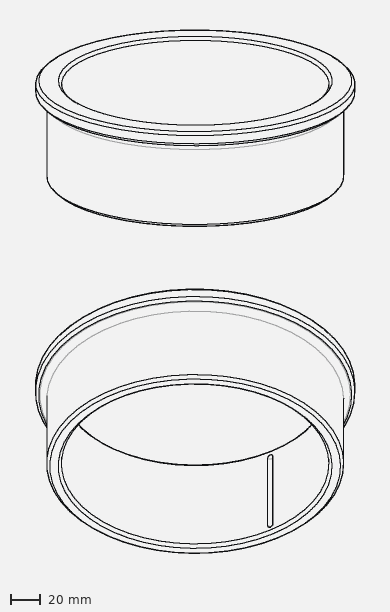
import cadquery as cq

height = 70.0
flange_radius = 215 / 2
sleeve_radius = 200 / 2
bore_radius = 180.0 / 2
flange_thickness = 10.0
edge_chamfer = 2.2
neck_fillet = 4.5

groove_width = 4.0
groove_length = 60.6
groove_bottom = 4.7

flange_bottom = height - flange_thickness

profile = (
    cq.Workplane("XZ")
    .moveTo(bore_radius, edge_chamfer)
    .lineTo(bore_radius + edge_chamfer, 0)
    .lineTo(sleeve_radius - edge_chamfer, 0)
    .lineTo(sleeve_radius, edge_chamfer)
    .lineTo(sleeve_radius, flange_bottom - neck_fillet)
    .radiusArc((sleeve_radius + neck_fillet, flange_bottom), neck_fillet)
    .lineTo(flange_radius - edge_chamfer, flange_bottom)
    .lineTo(flange_radius, flange_bottom + edge_chamfer)
    .lineTo(flange_radius, height - edge_chamfer)
    .lineTo(flange_radius - edge_chamfer, height)
    .lineTo(bore_radius + edge_chamfer, height)
    .lineTo(bore_radius, height - edge_chamfer)
    .close()
)
ring = profile.revolve(360, (0, 0, 0), (0, 1, 0))

groove_radius = groove_width / 2
rod_length = groove_length - groove_width
rod_bottom = groove_bottom + groove_radius
groove = (
    cq.Workplane("XY", origin=(bore_radius, 0, rod_bottom))
    .circle(groove_radius)
    .extrude(rod_length)
)
for ball_height in (rod_bottom, rod_bottom + rod_length):
    ball = cq.Workplane("XY", origin=(bore_radius, 0, ball_height)).sphere(groove_radius)
    groove = groove.union(ball)

result = ring.cut(groove)